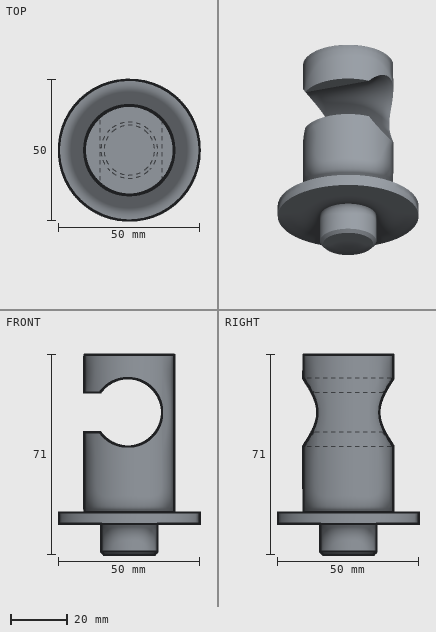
import cadquery as cq

flange_diameter = 50.0
flange_thickness = 4.0
spigot_diameter = 20.0
spigot_length = 11.0
spigot_tip_chamfer = 1.1

post_diameter = 32.0
post_height = 56.0
post_rim_chamfer = 0.25

bore_diameter = 24.2
bore_centre_x = -0.5
bore_depth_below_top = 20.5
slot_width = 14.0

post_bottom_z = flange_thickness
bore_centre_z = post_bottom_z + post_height - bore_depth_below_top


def make_base():
    """Flange and spigot in one piece, with the spigot tip chamfered."""
    flange = cq.Workplane("XY").circle(flange_diameter / 2).extrude(flange_thickness)
    spigot = (
        cq.Workplane("XY")
        .circle(spigot_diameter / 2)
        .extrude(-spigot_length)
        .faces("<Z")
        .edges()
        .chamfer(spigot_tip_chamfer)
    )
    return flange.union(spigot)


def make_post():
    """Round post with both rims lightly chamfered."""
    return (
        cq.Workplane("XY", origin=(0, 0, post_bottom_z))
        .circle(post_diameter / 2)
        .extrude(post_height)
        .faces("<Z or >Z")
        .edges()
        .chamfer(post_rim_chamfer)
    )


def make_rail_opening():
    """Cutter for the rail: a bore along Y joined to a slot open toward -X."""
    bore = (
        cq.Workplane("XZ", origin=(bore_centre_x, 0, bore_centre_z))
        .circle(bore_diameter / 2)
        .extrude(post_diameter / 2, both=True)
    )
    slot_length = post_diameter / 2 + bore_centre_x
    slot_centre_x = bore_centre_x - slot_length / 2
    slot = (
        cq.Workplane("XY", origin=(slot_centre_x, 0, bore_centre_z))
        .box(slot_length, post_diameter, slot_width)
    )
    return bore.union(slot)


def make_holder():
    """Post with the rail opening cut through it."""
    return make_post().cut(make_rail_opening())


base = make_base()
holder = make_holder()

result = cq.Compound.makeCompound([base.val(), holder.val()])